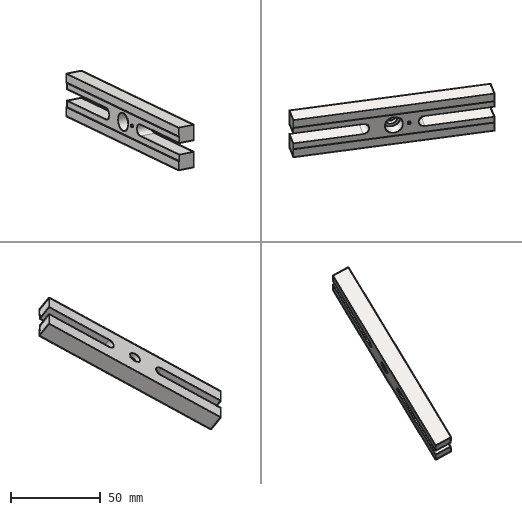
import cadquery as cq

length = 115.0
thickness = 10.0
height = 25.0

relief_height = 14.3
relief_depth = 0.38

slot_width = 6.7
slot_tip_x = 14.2

bore_diameter = 6.7
counterbore_diameter = 10.3
counterbore_depth = 6.5

dimple_x = 8.8
dimple_diameter = 1.6
dimple_depth = 0.5

front_y = -thickness / 2
relief_floor_y = front_y + relief_depth
bore_depth = thickness - relief_depth


def relief():
    """Full-length channel cut into the front face."""
    channel = cq.Workplane("XY").box(length, relief_depth, relief_height)
    return channel.translate((0, front_y + relief_depth / 2, 0))


def end_slot(side):
    """Round-ended slot through the thickness; side is -1 or +1 along X."""
    radius = slot_width / 2
    tip_x = side * slot_tip_x
    arc_centre_x = side * (slot_tip_x + radius)
    end_x = side * length / 2
    return (
        cq.Workplane("XZ")
        .moveTo(end_x, radius)
        .lineTo(arc_centre_x, radius)
        .threePointArc((tip_x, 0), (arc_centre_x, -radius))
        .lineTo(end_x, -radius)
        .close()
        .extrude(thickness / 2, both=True)
    )


def hole(x, diameter, depth):
    """Round hole running in +Y from the relief floor, on the bar's mid-height."""
    start = cq.Vector(x, relief_floor_y, 0)
    direction = cq.Vector(0, 1, 0)
    return cq.Workplane(cq.Solid.makeCylinder(diameter / 2, depth, start, direction))


result = cq.Workplane("XY").box(length, thickness, height)
result = result.cut(relief())
for side in (-1, 1):
    result = result.cut(end_slot(side))
result = result.cut(hole(0, bore_diameter, bore_depth))
result = result.cut(hole(0, counterbore_diameter, counterbore_depth))
result = result.cut(hole(dimple_x, dimple_diameter, dimple_depth))